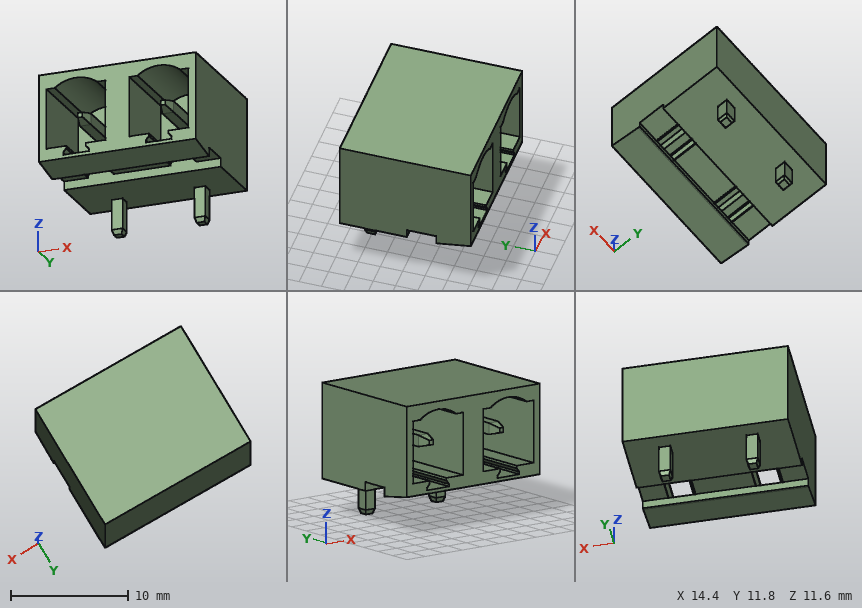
import cadquery as cq

WIDTH = 14.42
DEPTH = 11.75
HEIGHT = 8.4

PITCH = 7.61
PIN_COUNT = 2
FIRST_PIN_X = (WIDTH - (PIN_COUNT - 1) * PITCH) / 2
PIN_XS = [FIRST_PIN_X + i * PITCH for i in range(PIN_COUNT)]

SLOT_FRONT_Y = 3.11
SLOT_REAR_Y = 5.74
SLOT_HEIGHT = 0.78
BEVEL_LENGTH = 2.97
BEVEL_HEIGHT = 0.46

CAVITY_DEPTH = 7.21
CAVITY_HALF_WIDTH = 2.71
CAVITY_FLOOR_Z = 1.57
CAVITY_SHOULDER_Z = 7.04
DOME_HALF_WIDTH = 1.95
DOME_TOP_Z = 7.7

GROOVE_DEPTH = SLOT_REAR_Y
GROOVE_FLOOR_Z = SLOT_HEIGHT
GROOVE_NECK_HALF_WIDTH = 0.9
GROOVE_BASE_HALF_WIDTH = 1.18
GROOVE_NECK_HEIGHT = 0.23
GROOVE_BASE_HEIGHT = 0.2

PIN_SIZE = 1.01
CONTACT_Z = 4.63
CONTACT_TIP_Y = 0.97
CONTACT_TAPER = 1.15
CONTACT_TIP_SIZE = 0.42
LEG_Y = DEPTH - 1.85
LEG_LENGTH = 3.19
LEG_TAPER = 0.45
LEG_TIP_SIZE = 0.7


def extrude_back(profile, depth):
    """Extrude a profile of the front (XZ) plane toward +Y."""
    return profile.extrude(-depth)


def make_block():
    """Block with its side outline, including the bevel and the cross slot."""
    return (
        cq.Workplane("YZ")
        .moveTo(0, BEVEL_HEIGHT)
        .lineTo(BEVEL_LENGTH, 0)
        .lineTo(SLOT_FRONT_Y, 0)
        .lineTo(SLOT_FRONT_Y, SLOT_HEIGHT)
        .lineTo(SLOT_REAR_Y, SLOT_HEIGHT)
        .lineTo(SLOT_REAR_Y, 0)
        .lineTo(DEPTH, 0)
        .lineTo(DEPTH, HEIGHT)
        .lineTo(0, HEIGHT)
        .close()
        .extrude(WIDTH)
    )


def make_cavity(x):
    """Plug space: rectangle with a domed roof, plus the groove in its floor."""
    room = (
        cq.Workplane("XZ")
        .moveTo(x - CAVITY_HALF_WIDTH, CAVITY_FLOOR_Z)
        .lineTo(x + CAVITY_HALF_WIDTH, CAVITY_FLOOR_Z)
        .lineTo(x + CAVITY_HALF_WIDTH, CAVITY_SHOULDER_Z)
        .lineTo(x + DOME_HALF_WIDTH, CAVITY_SHOULDER_Z)
        .threePointArc((x, DOME_TOP_Z), (x - DOME_HALF_WIDTH, CAVITY_SHOULDER_Z))
        .lineTo(x - CAVITY_HALF_WIDTH, CAVITY_SHOULDER_Z)
        .close()
    )
    neck_z = CAVITY_FLOOR_Z - GROOVE_NECK_HEIGHT
    base_z = GROOVE_FLOOR_Z + GROOVE_BASE_HEIGHT
    groove = (
        cq.Workplane("XZ")
        .moveTo(x - GROOVE_NECK_HALF_WIDTH, CAVITY_FLOOR_Z)
        .lineTo(x - GROOVE_NECK_HALF_WIDTH, neck_z)
        .lineTo(x - GROOVE_BASE_HALF_WIDTH, base_z)
        .lineTo(x - GROOVE_BASE_HALF_WIDTH, GROOVE_FLOOR_Z)
        .lineTo(x + GROOVE_BASE_HALF_WIDTH, GROOVE_FLOOR_Z)
        .lineTo(x + GROOVE_BASE_HALF_WIDTH, base_z)
        .lineTo(x + GROOVE_NECK_HALF_WIDTH, neck_z)
        .lineTo(x + GROOVE_NECK_HALF_WIDTH, CAVITY_FLOOR_Z)
        .close()
    )
    return extrude_back(room, CAVITY_DEPTH).union(extrude_back(groove, GROOVE_DEPTH))


def make_tip(base_plane, tip_size, length):
    """Square tip that narrows from the pin section along the plane normal."""
    return (
        cq.Workplane(base_plane)
        .rect(PIN_SIZE, PIN_SIZE)
        .workplane(offset=length)
        .rect(tip_size, tip_size)
        .loft(ruled=True)
    )


def make_pin(x):
    """L-shaped pin: contact pointing to -Y and solder leg pointing down."""
    contact_start_y = CONTACT_TIP_Y + CONTACT_TAPER
    leg_end_z = LEG_TAPER - LEG_LENGTH
    leg_rear_y = LEG_Y + PIN_SIZE / 2
    contact_top_z = CONTACT_Z + PIN_SIZE / 2

    contact_plane = cq.Plane(origin=(x, contact_start_y, CONTACT_Z), xDir=(1, 0, 0), normal=(0, -1, 0))
    leg_plane = cq.Plane(origin=(x, LEG_Y, leg_end_z), xDir=(1, 0, 0), normal=(0, 0, -1))
    contact = cq.Workplane(contact_plane).rect(PIN_SIZE, PIN_SIZE).extrude(contact_start_y - leg_rear_y)
    leg = cq.Workplane(leg_plane).rect(PIN_SIZE, PIN_SIZE).extrude(leg_end_z - contact_top_z)
    contact_tip = make_tip(contact_plane, CONTACT_TIP_SIZE, CONTACT_TAPER)
    leg_tip = make_tip(leg_plane, LEG_TIP_SIZE, LEG_TAPER)
    return contact.union(leg).union(contact_tip).union(leg_tip)


def make_housing(pins):
    """Block with one cavity per pin and holes that match the pins."""
    body = make_block()
    for x in PIN_XS:
        body = body.cut(make_cavity(x))
    for pin in pins:
        body = body.cut(pin)
    return body


pins = [make_pin(x) for x in PIN_XS]
housing = make_housing(pins)

result = cq.Compound.makeCompound([housing.val(), *[pin.val() for pin in pins]])